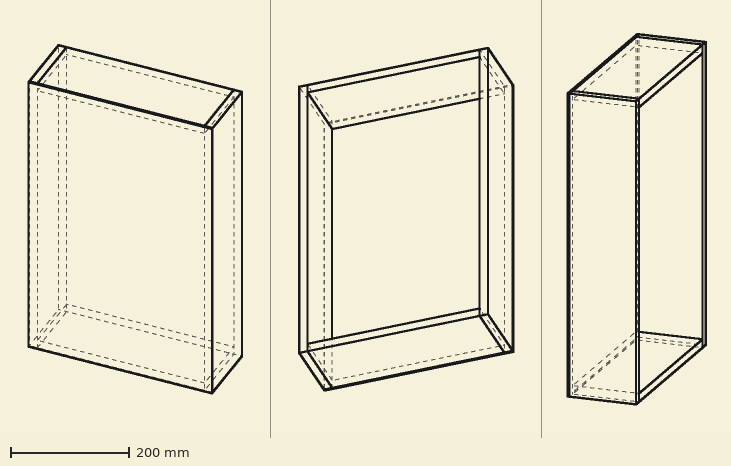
import cadquery as cq

width = 341.0
depth = 123.0
height = 540.0

board_thickness = 15.0
panel_thickness = 3.0

frame_depth = depth - panel_thickness
frame_center_y = panel_thickness / 2
side_center_x = (width - board_thickness) / 2
end_center_z = (height - board_thickness) / 2


def make_panel():
    """Thin panel covering the whole -Y face of the frame."""
    panel_center_y = (panel_thickness - depth) / 2
    return cq.Workplane("XY").box(width, panel_thickness, height).translate((0, panel_center_y, 0))


def make_side_board(direction):
    """Full-height upright; direction is -1 for the -X side and 1 for the +X side."""
    board = cq.Workplane("XY").box(board_thickness, frame_depth, height)
    return board.translate((direction * side_center_x, frame_center_y, 0))


def make_end_board(direction):
    """Board between the uprights; direction is -1 for the bottom and 1 for the top."""
    board = cq.Workplane("XY").box(width - 2 * board_thickness, frame_depth, board_thickness)
    return board.translate((0, frame_center_y, direction * end_center_z))


panel = make_panel()
side_boards = [make_side_board(direction) for direction in (-1, 1)]
end_boards = [make_end_board(direction) for direction in (-1, 1)]

bodies = [panel, *side_boards, *end_boards]
result = cq.Compound.makeCompound([body.val() for body in bodies])